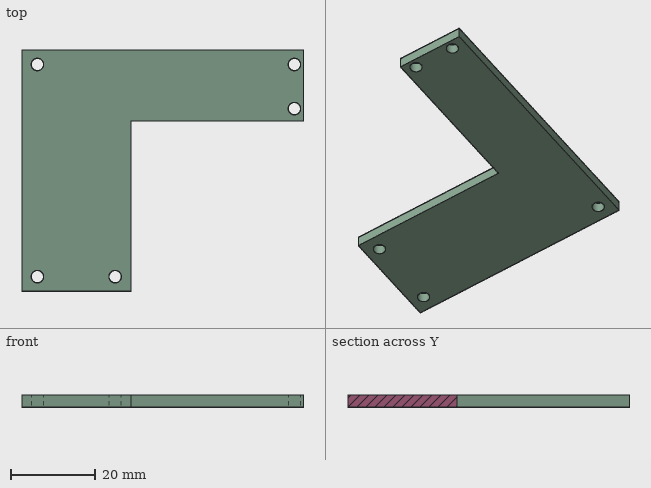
import cadquery as cq

length_x = 67.07
length_y = 57.5
thickness = 3.0

long_leg_width = 17.0
short_leg_width = 26.0

hole_diameter = 2.9
outer_edge_offset = 3.7
end_edge_offset = 3.5
long_leg_end_offset = 2.2
long_leg_inner_offset = 3.0
short_leg_inner_offset = 3.8

inner_x = short_leg_width
inner_y = length_y - long_leg_width

outer_hole_x = outer_edge_offset
top_hole_y = length_y - end_edge_offset
bottom_hole_y = end_edge_offset
long_leg_hole_x = length_x - long_leg_end_offset

hole_centers = [
    (outer_hole_x, top_hole_y),
    (long_leg_hole_x, top_hole_y),
    (long_leg_hole_x, inner_y + long_leg_inner_offset),
    (outer_hole_x, bottom_hole_y),
    (inner_x - short_leg_inner_offset, bottom_hole_y),
]


def make_plate():
    """L-shaped plate with sharp corners."""
    outline = [
        (0, 0),
        (inner_x, 0),
        (inner_x, inner_y),
        (length_x, inner_y),
        (length_x, length_y),
        (0, length_y),
    ]
    return cq.Workplane("XY").polyline(outline).close().extrude(thickness)


def make_holes():
    """Cylinders that cut through the full thickness at each hole."""
    return cq.Workplane("XY").pushPoints(hole_centers).circle(hole_diameter / 2).extrude(thickness)


result = make_plate().cut(make_holes())